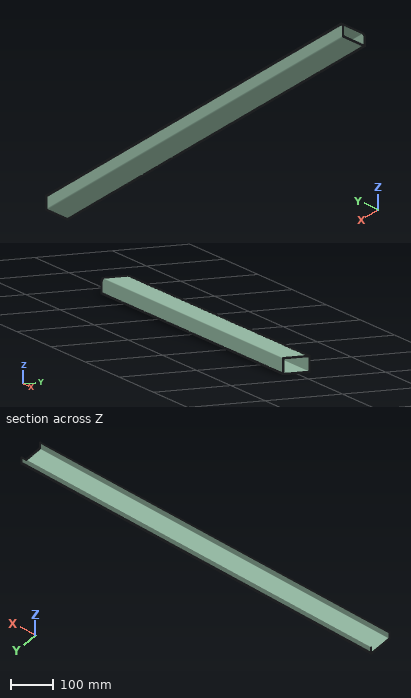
import cadquery as cq

length = 1063.0
width = 70.0
height = 40.0

wall = 2.0
bend_radius = 3.0

cut_length = 7.0
cut_depth = 12.0


def rounded_bar(bar_width, bar_height, radius):
    """Full-length bar along X, centred on the origin, with rounded long edges."""
    return (
        cq.Workplane("XY")
        .box(length, bar_width, bar_height)
        .edges("|X")
        .fillet(radius)
    )


def end_cut():
    """Triangular prism that slants the upper corner of the -X end."""
    end_x = -length / 2
    top_z = height / 2
    return (
        cq.Workplane("XZ")
        .moveTo(end_x, top_z)
        .lineTo(end_x + cut_length, top_z)
        .lineTo(end_x, top_z - cut_depth)
        .close()
        .extrude(width / 2, both=True)
    )


outer = rounded_bar(width, height, bend_radius)
bore = rounded_bar(width - 2 * wall, height - 2 * wall, bend_radius - wall)
result = outer.cut(bore).cut(end_cut())